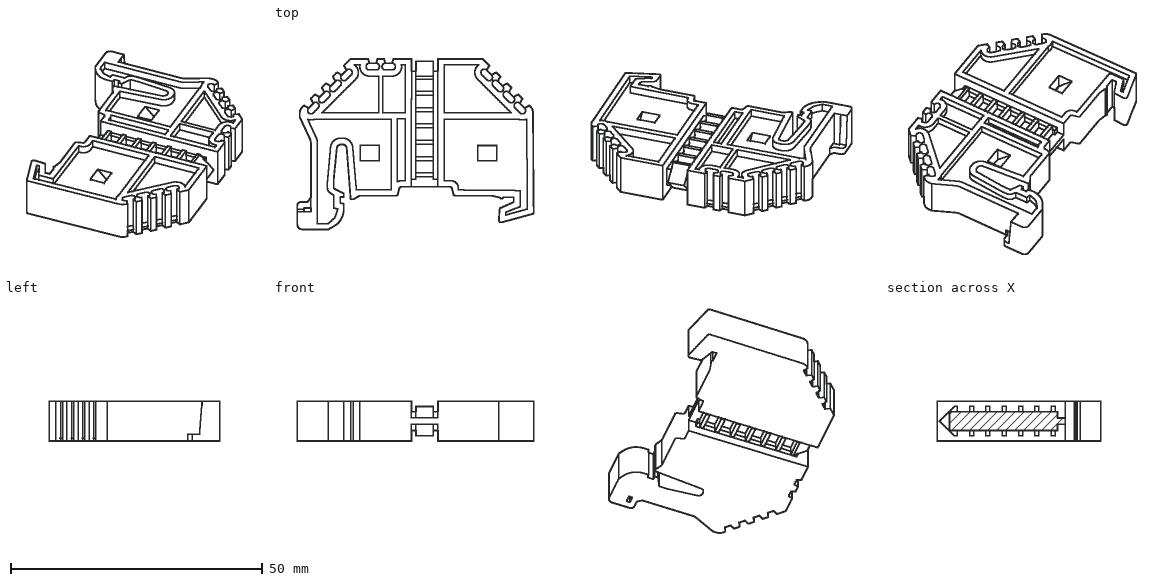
import cadquery as cq
import math

THICKNESS = 8.0
HEIGHT = 34.0
LENGTH = 47.12
MID_Z = THICKNESS / 2

POCKET_DEPTH = 1.5
POCKET_FLOOR = THICKNESS - POCKET_DEPTH
POCKET_TOP = HEIGHT - 1.17
CROSS_RIB_TOP = 23.22
CROSS_RIB_BOTTOM = 21.95
NARROW_POCKET_TOP = 22.05
LOWER_POCKET_END = 9.73
FOOT_EDGE_POCKET_END = 7.88
FOOT_POCKET_END = 1.13
DIVIDER_X = (16.2, 17.07)
LEFT_POCKET_END = 21.54
RIGHT_POCKET_START = 29.33

BLOCK_BOTTOM = 8.48
FOOT_EDGE = 6.72
LEFT_INNER_TOP = 22.8
LEFT_INNER_BOTTOM = 22.68
RIGHT_INNER = 28.04
STEP_RADIUS = 0.4

SLOT_RADIUS = 0.67
SLOT_LENGTH = 2.69
SLOT_HALF_SPAN = SLOT_LENGTH / 2 - SLOT_RADIUS
SLOT_FLOOR = 0.57
SLOT_WALL_RADIUS = 1.9
MOUTH_INNER = 1.3
MOUTH_OUTER = 1.85
MOUTH_DEPTH = 1.6
MOUTH_CLEARANCE = 2.2
SLOT_STEP = 2.2
SLOTS_PER_SLOPE = 4
TOP_SLOT_Y = HEIGHT - 1.55
TOP_SLOT_X = (15.05, 18.22)
SLOPE_SLOT_Y = 30.79
LEFT_SLOPE_SLOT_X = 9.81
RIGHT_SLOPE_SLOT_X = 37.75


def outline(points):
    """Closed XY wire through (x, y) or (x, y, radius) corners; a radius rounds that corner."""
    stretches = []
    count = len(points)
    for i, point in enumerate(points):
        corner = cq.Vector(point[0], point[1])
        radius = point[2] if len(point) > 2 else 0
        if not radius:
            stretches.append((corner,))
            continue
        to_last = (cq.Vector(*points[i - 1][:2]) - corner).normalized()
        to_next = (cq.Vector(*points[(i + 1) % count][:2]) - corner).normalized()
        half_angle = to_last.getAngle(to_next) / 2
        setback = radius / math.tan(half_angle)
        bisector = (to_last + to_next).normalized()
        middle = corner + bisector * (radius / math.sin(half_angle) - radius)
        stretches.append((corner + to_last * setback, middle, corner + to_next * setback))
    edges = []
    for i, stretch in enumerate(stretches):
        if len(stretch) == 3:
            edges.append(cq.Edge.makeThreePointArc(*stretch))
        edges.append(cq.Edge.makeLine(stretch[-1], stretches[(i + 1) % count][0]))
    return cq.Wire.assembleEdges(edges)


def prism(points, bottom=0.0, top=THICKNESS):
    face = cq.Face.makeFromWires(outline(points))
    solid = cq.Solid.extrudeLinear(face, cq.Vector(0, 0, top - bottom))
    return cq.Workplane(obj=solid.translate(cq.Vector(0, 0, bottom)))


def box(x0, x1, y0, y1, z0, z1):
    return cq.Workplane().box(x1 - x0, y1 - y0, z1 - z0, centered=False).translate((x0, y0, z0))


def stadium(start, end, radius, bottom=0.0):
    dx, dy = end[0] - start[0], end[1] - start[1]
    return (
        cq.Workplane()
        .slot2D(math.hypot(dx, dy) + 2 * radius, 2 * radius)
        .extrude(THICKNESS - bottom)
        .rotate((0, 0, 0), (0, 0, 1), math.degrees(math.atan2(dy, dx)))
        .translate(((start[0] + end[0]) / 2, (start[1] + end[1]) / 2, bottom))
    )


def wire_slot(x, y, angle):
    """Rounded slot with a thin floor, opening outward through a flared mouth that has none."""
    cavity = stadium((-SLOT_HALF_SPAN, 0), (SLOT_HALF_SPAN, 0), SLOT_RADIUS, SLOT_FLOOR)
    mouth = prism([
        (-MOUTH_INNER / 2, SLOT_RADIUS),
        (MOUTH_INNER / 2, SLOT_RADIUS),
        (MOUTH_OUTER / 2, MOUTH_DEPTH),
        (MOUTH_OUTER / 2, MOUTH_CLEARANCE),
        (-MOUTH_OUTER / 2, MOUTH_CLEARANCE),
        (-MOUTH_OUTER / 2, MOUTH_DEPTH),
    ])
    return cavity.union(mouth).rotate((0, 0, 0), (0, 0, 1), angle).translate((x, y, 0))


def slope_slots(first_x, side):
    """Slots down a 45 degree slope; side is -1 on the left plate and +1 on the right."""
    slots = cq.Workplane()
    for i in range(SLOTS_PER_SLOPE):
        slot = wire_slot(first_x + side * i * SLOT_STEP, SLOPE_SLOT_Y - i * SLOT_STEP, -45 * side)
        slots = slots.add(slot)
    return slots.combine()


def slope_slot_wall(first_x, side):
    """Wall left standing around a slope's slots."""
    end = SLOT_HALF_SPAN * math.sqrt(0.5)
    run = (SLOTS_PER_SLOPE - 1) * SLOT_STEP + end
    return stadium(
        (first_x - side * end, SLOPE_SLOT_Y + end),
        (first_x + side * run, SLOPE_SLOT_Y - run),
        SLOT_WALL_RADIUS,
    )


def top_slot_wall():
    return stadium(
        (TOP_SLOT_X[0] - SLOT_HALF_SPAN, TOP_SLOT_Y),
        (TOP_SLOT_X[1] + SLOT_HALF_SPAN, TOP_SLOT_Y),
        SLOT_WALL_RADIUS,
    )


def pocket(points):
    return prism(points, POCKET_FLOOR)


WINDOW_Y = (13.73, 16.76)
WINDOW_WIDTH = 3.76
WINDOW_DEPTH = WINDOW_Y[1] - WINDOW_Y[0]
WINDOW_BOTTOM = POCKET_FLOOR - WINDOW_DEPTH
LEFT_WINDOW_X = 12.6
RIGHT_WINDOW_X = 35.96
WEDGE_GAP = 0.12


def ramp(x, end_y):
    """Triangular block whose sloping top falls from the pocket floor towards +Y."""
    return (
        cq.Workplane("YZ")
        .polyline([(WINDOW_Y[0], POCKET_FLOOR), (WINDOW_Y[0], WINDOW_BOTTOM), (end_y, WINDOW_BOTTOM)])
        .close()
        .extrude(WINDOW_WIDTH)
        .translate((x, 0, 0))
    )


def window(x):
    return box(x, x + WINDOW_WIDTH, *WINDOW_Y, WINDOW_BOTTOM, POCKET_FLOOR)


def ramped_window(x):
    return window(x).cut(ramp(x, WINDOW_Y[1]))


LEFT_EDGE = 0.47
TOE_X = 9.31
TOE_NOTCH_X = 8.6
WALL_X = 2.70
INNER_WALL_X = 4.0
FOOT_TOP = 3.55
FOOT_TOP_LOW = 4.05
TAB_HEIGHT = 1.4
TAB_TOP = 5.5
TAB_SLOT_X = 1.4
TAB_SLOT_TOP = 4.27
STEP_X = (20.42, 20.0)


def left_plate():
    return prism([
        (LEFT_INNER_TOP, HEIGHT),
        (10.62, HEIGHT),
        (LEFT_EDGE, HEIGHT - 10.15, 1.8),
        (LEFT_EDGE, 22.4),
        (WALL_X, 17.65, 2.0),
        (WALL_X, FOOT_TOP),
        (0, FOOT_TOP),
        (0, 0, 1.0),
        (6.2, 0),
        (TOE_X, 1.75, 4.0),
        (TOE_X, 5.14),
        (TOE_NOTCH_X, 5.29),
        (TOE_NOTCH_X, 6.45),
        (TOE_X, 6.45),
        (TOE_X, 7.17),
        (7.31, 8.2),
        (7.31, 10.1, 2.0),
        (7.98, 16.93, 0.85),
        (9.78, 16.93, 0.85),
        (10.62, 6.0),
        (11.16, 6.0),
        (12.5, FOOT_EDGE),
        (STEP_X[1], FOOT_EDGE, STEP_RADIUS),
        (STEP_X[0], BLOCK_BOTTOM, STEP_RADIUS),
        (LEFT_INNER_BOTTOM, BLOCK_BOTTOM),
    ])


def foot_slope():
    """Wedge that makes the foot's upper edge lean out towards the underside."""
    section = [
        (FOOT_TOP, THICKNESS),
        (FOOT_TOP, 0),
        (FOOT_TOP_LOW, 0),
        (FOOT_TOP_LOW, TAB_HEIGHT),
    ]
    return (
        cq.Workplane("YZ")
        .polyline(section)
        .close()
        .extrude(WALL_X)
    )


def foot_tab():
    """Thin tab on the underside, above the foot."""
    points = [
        (0, FOOT_TOP),
        (WALL_X, FOOT_TOP),
        (WALL_X, 6.4),
        (2.05, TAB_TOP, 0.3),
        (0, TAB_TOP, 0.75),
    ]
    return prism(points, 0, TAB_HEIGHT)


def tab_slot():
    """Opening between tab, foot and plate wall."""
    return box(TAB_SLOT_X, WALL_X, FOOT_TOP, TAB_SLOT_TOP, 0, THICKNESS)


def left_pockets():
    corner = pocket([
        (4.89, CROSS_RIB_TOP),
        (DIVIDER_X[0], CROSS_RIB_TOP),
        (DIVIDER_X[0], POCKET_TOP),
        (11.1, POCKET_TOP),
    ])
    inner = box(DIVIDER_X[1], LEFT_POCKET_END, CROSS_RIB_TOP, POCKET_TOP, POCKET_FLOOR, THICKNESS)
    lower = pocket([
        (2.1, CROSS_RIB_BOTTOM),
        (18.77, CROSS_RIB_BOTTOM),
        (18.77, FOOT_EDGE_POCKET_END),
        (11.78, FOOT_EDGE_POCKET_END),
        (10.9, 18.2, 2.0),
        (6.8, 18.2, 2.0),
        (6.02, 9.5, 2.0),
        (6.02, 7.6, 1.2),
        (7.25, 6.85),
        (7.25, 4.27),
        (8.1, 4.1),
        (7.55, 2.4, 2.0),
        (6.14, FOOT_POCKET_END),
        (INNER_WALL_X, FOOT_POCKET_END),
        (INNER_WALL_X, 17.8, 2.0),
    ])
    narrow = pocket([
        (19.93, NARROW_POCKET_TOP),
        (19.93, 9.5),
        (20.5, LOWER_POCKET_END, 1.0),
        (LEFT_POCKET_END, LOWER_POCKET_END),
        (LEFT_POCKET_END, NARROW_POCKET_TOP),
    ])
    cuts = corner.union(inner).union(lower).union(narrow)
    return cuts.cut(slope_slot_wall(LEFT_SLOPE_SLOT_X, -1)).cut(top_slot_wall())


def right_plate():
    return prism([
        (RIGHT_INNER, HEIGHT),
        (36.95, HEIGHT),
        (46.98, HEIGHT - 10.03, 1.8),
        (LENGTH, 3.15, 0.4),
        (40.1, 1.23, 0.5),
        (40.3, 4.22, 0.4),
        (43.12, 5.48),
        (43.12, 6.42),
        (41.15, 6.42),
        (40.7, 6.1, 0.2),
        (40.3, 6.35),
        (38.65, FOOT_EDGE),
        (31.15, FOOT_EDGE, STEP_RADIUS),
        (30.73, BLOCK_BOTTOM, STEP_RADIUS),
        (RIGHT_INNER, BLOCK_BOTTOM),
    ])


def right_pockets():
    upper = pocket([
        (RIGHT_POCKET_START, CROSS_RIB_TOP),
        (42.6, CROSS_RIB_TOP),
        (36.2, POCKET_TOP),
        (RIGHT_POCKET_START, POCKET_TOP),
    ])
    lower = pocket([
        (RIGHT_POCKET_START, CROSS_RIB_BOTTOM),
        (45.7, CROSS_RIB_BOTTOM),
        (45.85, 4.09),
        (41.5, 2.87),
        (41.5, 3.42),
        (44.43, 4.57),
        (44.43, 7.76),
        (32.1, FOOT_EDGE_POCKET_END),
        (32.1, LOWER_POCKET_END, 1.5),
        (RIGHT_POCKET_START, LOWER_POCKET_END),
    ])
    return upper.union(lower).cut(slope_slot_wall(RIGHT_SLOPE_SLOT_X, 1))


WEB_HALF = 0.65
RAIL_HALF = 1.9
RIB_HALF = 2.95
WEB_TOP = 31.54
RAIL_BOTTOM = 10.0
RIB_X = (23.65, 27.1)
RIB_THICKNESS = 0.8
RIB_PITCH = 3.25
RIB_COUNT = 6
FIRST_RIB_Y = 10.88
NOSE_START = 29.95
NOSE_SHOULDER = 30.52
NOSE_TIP = 33.55


def nose():
    """Last rib, which runs out in a symmetrical wedge."""
    section = [
        (NOSE_START, MID_Z - RIB_HALF),
        (NOSE_SHOULDER, MID_Z - RIB_HALF),
        (NOSE_TIP, MID_Z),
        (NOSE_SHOULDER, MID_Z + RIB_HALF),
        (NOSE_START, MID_Z + RIB_HALF),
    ]
    return (
        cq.Workplane("YZ")
        .polyline(section)
        .close()
        .extrude(RIB_X[1] - RIB_X[0])
        .translate((RIB_X[0], 0, 0))
    )


def web():
    """Thin plate with a rail along each side and ribs between the rails."""
    x0, x1 = LEFT_INNER_BOTTOM, RIGHT_INNER
    body = box(x0, x1, BLOCK_BOTTOM, WEB_TOP, MID_Z - WEB_HALF, MID_Z + WEB_HALF)
    for start, end in ((x0, RIB_X[0]), (RIB_X[1], x1)):
        body = body.union(box(start, end, RAIL_BOTTOM, WEB_TOP, MID_Z - RAIL_HALF, MID_Z + RAIL_HALF))
    for i in range(RIB_COUNT):
        y = FIRST_RIB_Y + i * RIB_PITCH - RIB_THICKNESS / 2
        body = body.union(box(*RIB_X, y, y + RIB_THICKNESS, MID_Z - RIB_HALF, MID_Z + RIB_HALF))
    return body.union(nose())


def clamp_body():
    left = left_plate().union(foot_slope()).union(foot_tab())
    left = left.cut(tab_slot()).cut(left_pockets()).cut(ramped_window(LEFT_WINDOW_X))
    left = left.cut(slope_slots(LEFT_SLOPE_SLOT_X, -1))
    for x in TOP_SLOT_X:
        left = left.cut(wire_slot(x, TOP_SLOT_Y, 0))
    right = right_plate().cut(right_pockets()).cut(window(RIGHT_WINDOW_X))
    right = right.cut(slope_slots(RIGHT_SLOPE_SLOT_X, 1))
    return left.union(web()).union(right)


def window_wedge():
    """Loose wedge filling the right window, a small gap short of its +Y wall."""
    return ramp(RIGHT_WINDOW_X, WINDOW_Y[1] - WEDGE_GAP)


clamp = clamp_body()
wedge = window_wedge()
result = cq.Compound.makeCompound([clamp.val(), wedge.val()])